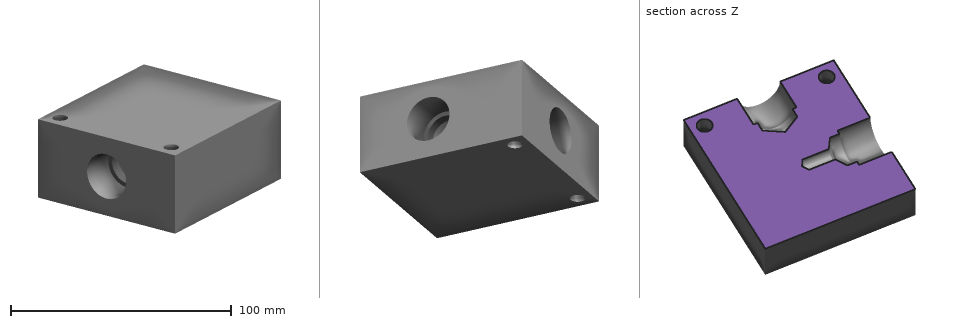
import cadquery as cq
import math

WIDTH = 76.2
LENGTH = 82.55
HEIGHT = 38.1

MOUNT_DIAMETER = 7.1
MOUNT_INSET = 7.2

MOUTH_DIAMETER = 21.6
MOUTH_DEPTH = 16.5
BORE_DIAMETER = 17.5
BORE_DEPTH = 21.5
DRILL_POINT_ANGLE = 118.0

SIDE_PORT_FROM_FRONT = 47.7
PILOT_DIAMETER = 6.35
PILOT_DEPTH = WIDTH / 2

FRONT_Y = -LENGTH / 2
LEFT_X = -WIDTH / 2


def drilled_hole(diameter, depth):
    """Cylinder rising from the origin along +Z, closed by a drill-point cone."""
    radius = diameter / 2
    point_height = radius / math.tan(math.radians(DRILL_POINT_ANGLE / 2))
    return (
        cq.Workplane("XZ")
        .lineTo(radius, 0)
        .lineTo(radius, depth)
        .lineTo(0, depth + point_height)
        .close()
        .revolve(360, (0, 0, 0), (0, 1, 0))
    )


def stepped_port():
    """Port cutter rising from the origin along +Z."""
    mouth = cq.Workplane("XY").circle(MOUTH_DIAMETER / 2).extrude(MOUTH_DEPTH)
    return mouth.union(drilled_hole(BORE_DIAMETER, BORE_DEPTH))


block = cq.Workplane("XY").box(WIDTH, LENGTH, HEIGHT)

mount_x = WIDTH / 2 - MOUNT_INSET
mount_y = FRONT_Y + MOUNT_INSET
block = (
    block.faces(">Z")
    .workplane(origin=(0, 0, 0))
    .pushPoints([(-mount_x, mount_y), (mount_x, mount_y)])
    .hole(MOUNT_DIAMETER)
)

front_port = stepped_port().rotate((0, 0, 0), (1, 0, 0), -90).translate((0, FRONT_Y, 0))

side_port = (
    stepped_port()
    .union(drilled_hole(PILOT_DIAMETER, PILOT_DEPTH))
    .rotate((0, 0, 0), (0, 1, 0), 90)
    .translate((LEFT_X, FRONT_Y + SIDE_PORT_FROM_FRONT, 0))
)

result = block.cut(front_port).cut(side_port)